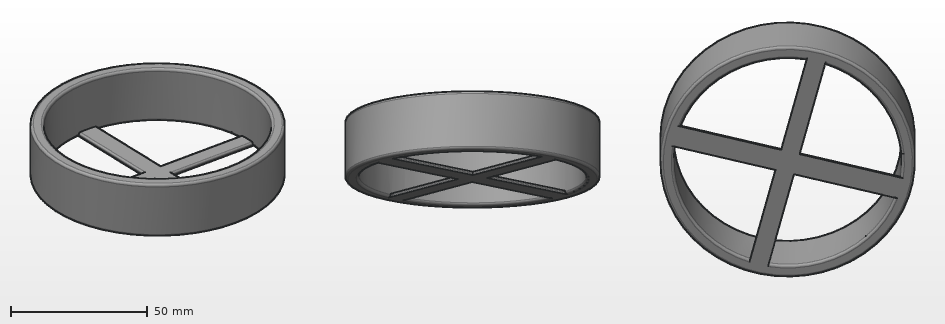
import cadquery as cq

outer_diameter = 93.5
inner_diameter = 83.5
height = 22.0
rim_fillet = 1.0

bar_thickness = 1.5
x_bar_width = 8.4
y_bar_width = 7.0
bar_fillet = 0.75
bar_length = (outer_diameter + inner_diameter) / 2


def make_ring():
    """Ring with all four circular edges rounded."""
    ring = (
        cq.Workplane("XY")
        .circle(outer_diameter / 2)
        .circle(inner_diameter / 2)
        .extrude(height)
    )
    return ring.faces("<Z or >Z").edges().fillet(rim_fillet)


def make_cross():
    """Two crossed bars with rounded upper edges."""
    x_bar = cq.Workplane("XY").rect(bar_length, x_bar_width).extrude(bar_thickness)
    y_bar = cq.Workplane("XY").rect(y_bar_width, bar_length).extrude(bar_thickness)
    return x_bar.union(y_bar).faces(">Z").edges().fillet(bar_fillet)


result = make_ring().union(make_cross())